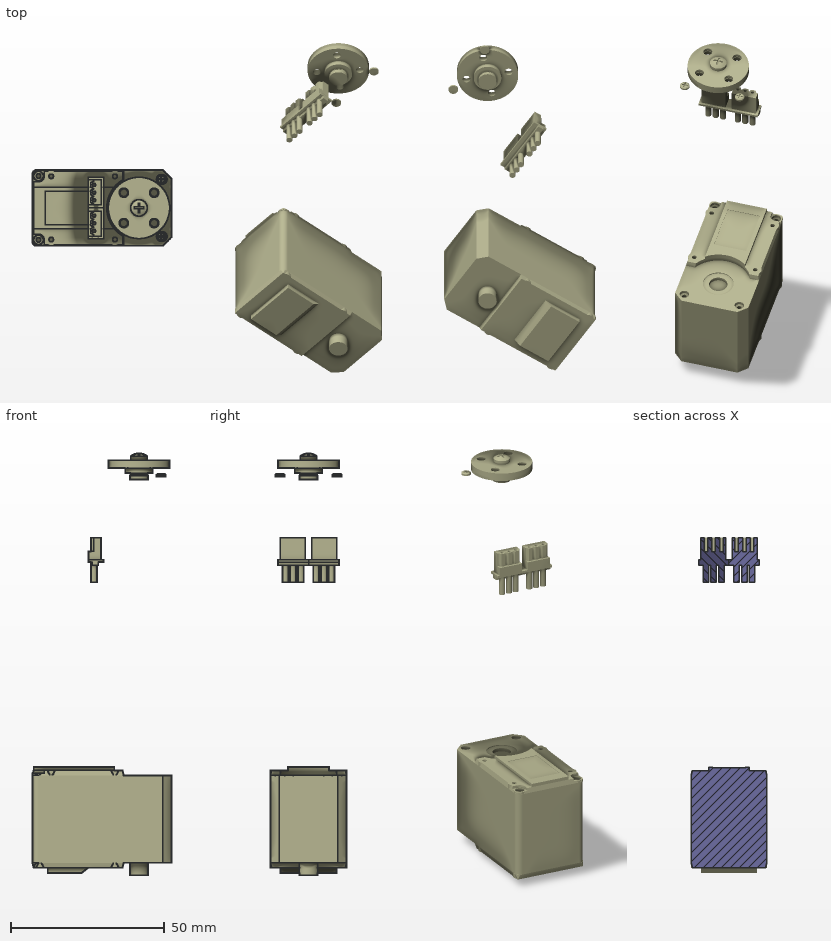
import cadquery as cq
import math


case_length = 45.4
case_width = 24.8
case_bottom = 4.1
case_top = 32.6
axis_to_right = 10.65
case_right = axis_to_right
case_left = case_right - case_length
half_width = case_width / 2
left_corner_radius = 2.0
right_corner_chamfer = 2.9

cover_height = 1.65
cover_right = case_left + 29.8
cover_corner_radius = 1.5
cover_inset = 0.4
horn_clearance_radius = 10.5
strip_width = 13.5
strip_height = 1.1
label_length = 16.4
label_width = 10.9
label_left = case_left + 4.2
label_depth = 0.15
foot_left = case_left + 5.0
foot_right = case_left + 18.2
foot_slope_length = 2.2
foot_width = 18.4
foot_height = 1.75
idle_pin_diameter = 6.0

pad_radius = 2.1
pad_y = half_width - pad_radius
top_pad_x = (case_left + 6.15, case_left + 26.9)
bottom_pad_x = (case_left + 2.5, case_left + 26.9)
pad_hole_diameter = 1.5
pad_hole_depth = 1.5
left_screw_x = case_left + left_corner_radius
left_screw_y = half_width - left_corner_radius
corner_pocket_radius = 1.85
corner_pocket_depth = 0.9
right_hole_x = case_right - 3.05
right_screw_y = half_width - 3.1
screw_hole_diameter = 3.1
screw_hole_depth = 1.0
thread_diameter = 1.5
thread_depth = 4.0
output_recess_diameter = 10.0
output_recess_depth = 0.3
output_bore_diameter = 6.0
output_bore_depth = 1.5

horn_diameter = 20.0
horn_top = 135.35
horn_thickness = 2.65
horn_boss_diameter = 9.0
horn_boss_height = 1.65
spline_diameter = 5.6
spline_root_diameter = 5.0
spline_tooth_count = 36
spline_height = 0.9
horn_spigot_diameter = 6.0
horn_spigot_height = 1.2
horn_bolt_circle_diameter = 14.0
horn_hole_count = 4
horn_first_hole_angle = 45
horn_hole_diameter = 2.53
horn_hole_rim_diameter = 2.93
horn_hole_rim_depth = 1.0
horn_screw_diameter = 5.4
overall_height = 137.48
horn_screw_height = overall_height - horn_top
horn_screw_dome = 0.9
horn_screw_flat_diameter = 1.5
horn_screw_cross_length = 3.1
horn_screw_cross_width = 0.6
horn_screw_cross_depth = 0.8

cover_screw_x = case_right - 3.4
cover_screw_diameter = 3.1
cover_screw_bottom = 129.9
cover_screw_height = 0.9
cover_screw_dome = 0.3
cover_screw_flat_diameter = 2.3
cover_screw_cross_length = 2.0
cover_screw_cross_width = 0.4
cover_screw_cross_depth = 0.5

connector_y = 5.0
flange_left = case_left + 18.3
flange_right = case_left + 23.2
flange_width = 10.0
flange_bottom = 102.1
flange_thickness = 0.75
tower_y = 5.12
tower_width = 8.2
tower_right = case_left + 22.4
shelf_height = 2.75
tower_top = 110.05
tooth_front = case_left + 19.05
tooth_root = case_left + 20.05
tooth_tip_width = 1.45
contact_pitch = 2.5
contact_count = 3
contact_x = case_left + 20.1
contact_hole_diameter = 1.0
contact_diameter = 2.0
contact_bottom = 95.45
rib_left = case_left + 19.5
rib_right = case_left + 21.5
rib_height = 1.1


def box(x_min, x_max, width, z_min, z_max):
    """Block centred on Y = 0."""
    return (
        cq.Workplane("XY", origin=((x_min + x_max) / 2, 0, z_min))
        .rect(x_max - x_min, width)
        .extrude(z_max - z_min)
    )


def cylinder(x, y, diameter, z_min, z_max):
    return cq.Workplane("XY", origin=(x, y, z_min)).circle(diameter / 2).extrude(z_max - z_min)


def case_block(z_min, z_max):
    """Case outline: rounded left corners and chamfered right corners."""
    return (
        box(case_left, case_right, case_width, z_min, z_max)
        .edges("|Z and <X")
        .fillet(left_corner_radius)
        .edges("|Z and >X")
        .chamfer(right_corner_chamfer)
    )


def cover_block(z_min, z_max):
    """Straight-sided outline of a cover, with rounded left corners."""
    block = box(case_left, cover_right, case_width, z_min, z_max)
    return block.edges("|Z and <X").fillet(cover_corner_radius)


def corner_pocket(side, z_min, z_max):
    """Space for a left screw head, open to the two outer sides of the corner."""
    y = side * left_screw_y
    reach = 2 * corner_pocket_radius
    height = z_max - z_min
    block = cq.Workplane("XY", origin=(left_screw_x, y, z_min))
    return (
        block.circle(corner_pocket_radius)
        .extrude(height)
        .union(block.center(-reach / 2, 0).rect(reach, reach).extrude(height))
        .union(block.center(0, side * reach / 2).rect(reach, reach).extrude(height))
    )


def cover(z_base, z_end, pad_x):
    """Plate that narrows away from the case, with upright round pads along both long sides."""
    height = z_end - z_base
    slope = math.degrees(math.atan2(cover_inset, abs(height)))
    plate = (
        cq.Workplane("XY", origin=((case_left + cover_right) / 2, 0, z_base))
        .rect(cover_right - case_left, case_width)
        .extrude(height, taper=slope)
    )
    z_min = min(z_base, z_end)
    z_max = max(z_base, z_end)
    for side in (-1, 1):
        for x in pad_x:
            plate = plate.union(cylinder(x, side * pad_y, 2 * pad_radius, z_min, z_max))
    return plate.intersect(cover_block(z_min, z_max))


def make_housing():
    cover_top = case_top + cover_height
    strip_top = cover_top + strip_height
    cover_bottom = case_bottom - cover_height

    top = cover(case_top, cover_top, top_pad_x)
    for side in (-1, 1):
        corner_pad = cylinder(
            left_screw_x, side * left_screw_y, 2 * left_corner_radius, case_top, cover_top
        )
        top = top.union(corner_pad)
    strip = box(case_left + cover_inset, cover_right, strip_width, case_top, strip_top)
    top = top.union(strip)
    top = top.cut(cylinder(0, 0, 2 * horn_clearance_radius, case_top, strip_top))

    bottom = cover(case_bottom, cover_bottom, bottom_pad_x)
    foot = (
        cq.Workplane("XZ", origin=(0, foot_width / 2, 0))
        .moveTo(foot_left, cover_bottom)
        .lineTo(foot_right, cover_bottom)
        .lineTo(foot_right - foot_slope_length, cover_bottom - foot_height)
        .lineTo(foot_left, cover_bottom - foot_height)
        .close()
        .extrude(foot_width)
    )
    idle_pin = cylinder(0, 0, idle_pin_diameter, 0, case_bottom)

    body = case_block(case_bottom, case_top).union(top).union(bottom).union(foot).union(idle_pin)

    label_right = label_left + label_length
    body = body.cut(box(label_left, label_right, label_width, strip_top - label_depth, strip_top))
    body = body.cut(
        cylinder(0, 0, output_recess_diameter, case_top - output_recess_depth, case_top)
    )
    body = body.cut(cylinder(0, 0, output_bore_diameter, case_top - output_bore_depth, case_top))
    for side in (-1, 1):
        for x in top_pad_x:
            hole_floor = cover_top - pad_hole_depth
            body = body.cut(cylinder(x, side * pad_y, pad_hole_diameter, hole_floor, cover_top))
        left_y = side * left_screw_y
        pocket_floor = cover_top - corner_pocket_depth
        body = body.cut(corner_pocket(side, pocket_floor, cover_top))
        body = body.cut(screw_hole(left_screw_x, left_y, pocket_floor))
        body = body.cut(screw_hole(right_hole_x, side * right_screw_y, case_top))
    return body


def screw_hole(x, y, z_top):
    """Counterbored blind hole that opens at z_top."""
    seat = z_top - screw_hole_depth
    head = cylinder(x, y, screw_hole_diameter, seat, z_top)
    return head.union(cylinder(x, y, thread_diameter, seat - thread_depth, seat))


def spline(z_min, z_max):
    """Toothed shaft with straight-sided teeth."""
    points = []
    for i in range(2 * spline_tooth_count):
        radius = (spline_diameter if i % 2 == 0 else spline_root_diameter) / 2
        angle = math.pi * i / spline_tooth_count
        points.append((radius * math.cos(angle), radius * math.sin(angle)))
    return cq.Workplane("XY", origin=(0, 0, z_min)).polyline(points).close().extrude(z_max - z_min)


def make_horn():
    disc_bottom = horn_top - horn_thickness
    boss_bottom = disc_bottom - horn_boss_height
    spline_bottom = boss_bottom - spline_height
    spigot_bottom = spline_bottom - horn_spigot_height
    horn = (
        cylinder(0, 0, horn_diameter, disc_bottom, horn_top)
        .union(cylinder(0, 0, horn_boss_diameter, boss_bottom, disc_bottom))
        .union(spline(spline_bottom, boss_bottom))
        .union(cylinder(0, 0, horn_spigot_diameter, spigot_bottom, spline_bottom))
    )
    return (
        horn.faces(">Z")
        .workplane(origin=(0, 0, horn_top))
        .polarArray(horn_bolt_circle_diameter / 2, horn_first_hole_angle, 360, horn_hole_count)
        .cboreHole(horn_hole_diameter, horn_hole_rim_diameter, horn_hole_rim_depth)
    )


def screw_head(x, y, z, diameter, height, dome, flat_diameter, cross):
    """Head with a rounded shoulder and a flat top; cross is its recess length, width and depth."""
    length, width, depth = cross
    radius = diameter / 2
    flat_radius = flat_diameter / 2
    sphere_drop = (radius**2 - flat_radius**2 + dome**2) / (2 * dome)
    sphere_radius = math.hypot(flat_radius, sphere_drop)
    sphere = cq.Workplane("XY", origin=(x, y, z + height - sphere_drop)).sphere(sphere_radius)
    head = cylinder(x, y, diameter, z, z + height).intersect(sphere)
    recess = cq.Workplane("XY", origin=(x, y, z + height))
    arm = recess.rect(length, width).extrude(-depth)
    return head.cut(arm).cut(recess.rect(width, length).extrude(-depth))


def make_horn_screw():
    return screw_head(
        0,
        0,
        horn_top,
        horn_screw_diameter,
        horn_screw_height,
        horn_screw_dome,
        horn_screw_flat_diameter,
        (horn_screw_cross_length, horn_screw_cross_width, horn_screw_cross_depth),
    )


def make_cover_screw(side):
    return screw_head(
        cover_screw_x,
        side * right_screw_y,
        cover_screw_bottom,
        cover_screw_diameter,
        cover_screw_height,
        cover_screw_dome,
        cover_screw_flat_diameter,
        (cover_screw_cross_length, cover_screw_cross_width, cover_screw_cross_depth),
    )


def make_connector(side):
    """Three-way plug: flange and rib, a toothed tower above and round contacts below."""
    flange_top = flange_bottom + flange_thickness
    shelf_top = flange_top + shelf_height
    flange = box(flange_left, flange_right, flange_width, flange_bottom, flange_top)
    rib = box(rib_left, rib_right, flange_width, flange_bottom - rib_height, flange_bottom)
    tower = box(flange_left, tower_right, tower_width, flange_top, shelf_top).union(
        box(tooth_root, tower_right, tower_width, shelf_top, tower_top)
    )
    body = flange.union(rib).union(tower.translate((0, side * (tower_y - connector_y), 0)))
    contact_ys = [(i - (contact_count - 1) / 2) * contact_pitch for i in range(contact_count)]
    for y in contact_ys:
        tooth = (
            cq.Workplane("XY", origin=(0, y, shelf_top))
            .moveTo(tooth_root, -contact_pitch / 2)
            .lineTo(tooth_front, -tooth_tip_width / 2)
            .lineTo(tooth_front, tooth_tip_width / 2)
            .lineTo(tooth_root, contact_pitch / 2)
            .close()
            .extrude(tower_top - shelf_top)
        )
        body = body.union(tooth)
        body = body.union(cylinder(contact_x, y, contact_diameter, contact_bottom, flange_bottom))
    for y in contact_ys:
        body = body.cut(cylinder(contact_x, y, contact_hole_diameter, shelf_top, tower_top))
    return body.translate((0, side * connector_y, 0))


housing = make_housing()
horn = make_horn()
horn_screw = make_horn_screw()
cover_screws = [make_cover_screw(side) for side in (-1, 1)]
connectors = [make_connector(side) for side in (-1, 1)]

result = cq.Compound.makeCompound(
    [
        housing.val(),
        horn.val(),
        horn_screw.val(),
        *[screw.val() for screw in cover_screws],
        *[connector.val() for connector in connectors],
    ]
)